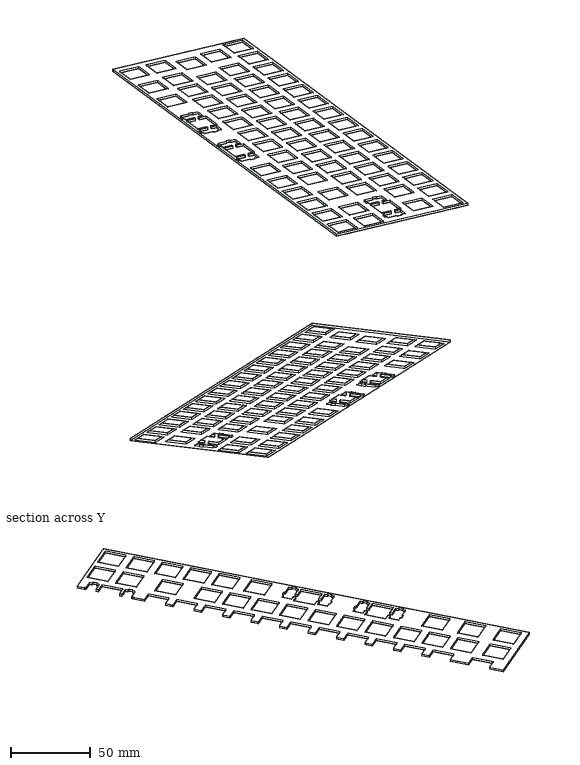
import cadquery as cq

plate_length = 285.0
plate_width = 94.5
plate_thickness = 1.5

keys_per_row = 15
row_count = 5
end_margin = 9.0
key_pitch = (plate_length - 2 * end_margin) / (keys_per_row - 1)
first_key_x = end_margin - plate_length / 2
top_row_y = key_pitch * (row_count - 1) / 2

switch_size = 14.0

stabilizer_offset = 12.0
stabilizer_width = 6.5
stabilizer_top = 5.7
stabilizer_height = 12.5
foot_notch_width = 2.8
foot_notch_depth = 1.0
side_notch_depth = 0.9
cross_slot_height = 2.8
cross_slot_top = 2.3

key_rows = [
    [1] * keys_per_row,
    [1.5] + [1] * 12 + [1.5],
    [1.75] + [1] * 11 + [2.25],
    [1.25] + [1] * 10 + [1.75, 1, 1],
    [1.25, 1.25, 1.25, 2.75, 2.25, 1.25] + [1] * 5,
]
stabilized_key_width = 2


def box_cutter(x_min, x_max, y_min, y_max):
    """Rectangular cutter as thick as the plate."""
    center = ((x_min + x_max) / 2, (y_min + y_max) / 2, 0)
    block = cq.Workplane("XY").box(x_max - x_min, y_max - y_min, plate_thickness)
    return block.translate(center)


def switch_cutter():
    """Square switch opening centred on the origin."""
    half = switch_size / 2
    return box_cutter(-half, half, -half, half)


def stabilizer_cutter():
    """Right-hand stabilizer opening with its slot to the switch, placed relative to the switch centre."""
    inner_x = stabilizer_offset - stabilizer_width / 2
    outer_x = stabilizer_offset + stabilizer_width / 2
    bottom_y = stabilizer_top - stabilizer_height
    body = box_cutter(inner_x, outer_x, bottom_y, stabilizer_top)
    foot_notch = box_cutter(
        stabilizer_offset - foot_notch_width / 2,
        stabilizer_offset + foot_notch_width / 2,
        bottom_y - foot_notch_depth,
        stabilizer_top,
    )
    cross_slot = box_cutter(
        0,
        outer_x + side_notch_depth,
        cross_slot_top - cross_slot_height,
        cross_slot_top,
    )
    return body.union(foot_notch).union(cross_slot)


def key_cutters():
    """Cutter solids for every key of the layout."""
    switch = switch_cutter()
    right_stabilizer = stabilizer_cutter()
    left_stabilizer = right_stabilizer.mirror("YZ")
    cutters = []
    for row, widths in enumerate(key_rows):
        y = top_row_y - row * key_pitch
        left_edge = first_key_x - key_pitch / 2
        for width in widths:
            x = left_edge + width * key_pitch / 2
            openings = [switch]
            if width >= stabilized_key_width:
                openings += [left_stabilizer, right_stabilizer]
            for opening in openings:
                cutters.append(opening.translate((x, y, 0)).val())
            left_edge += width * key_pitch
    return cutters


plate = cq.Workplane("XY").box(plate_length, plate_width, plate_thickness)
result = cq.Workplane("XY").newObject([plate.val().cut(*key_cutters())])